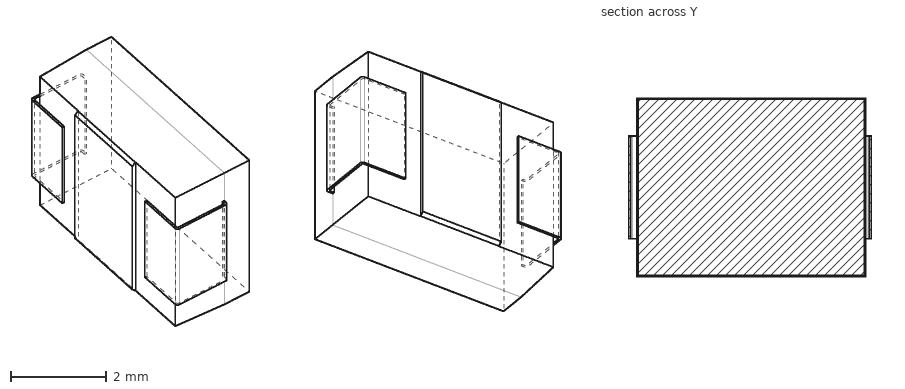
import cadquery as cq
import math

lead_span = 5.1
depth = 2.0
height = 3.75

body_width = 4.805
body_offset = 0.025
rear_depth = 0.66
draft_angle = 2.0

lead_width = 2.16
lead_thickness = 0.05
foot_gap = 0.033
foot_length = 1.11
bend_radius = 0.06
inner_bend_radius = 0.025

strap_thickness = lead_thickness + foot_gap
strap_width = 2.0
strap_chamfer = 0.075

front_y = -depth / 2
rear_y = depth / 2
seam_y = rear_y - rear_depth
body_front_y = front_y + strap_thickness
taper_depth = seam_y - body_front_y
taper_inset = taper_depth * math.tan(math.radians(draft_angle))
front_height = height - 2 * taper_inset


def make_body():
    """Straight rear block with a drafted block lofted in front of it."""
    rear = cq.Workplane("XY").box(body_width, rear_depth, height).translate(
        (body_offset, rear_y - rear_depth / 2, 0)
    )
    drafted = (
        cq.Workplane("XZ", origin=(body_offset, seam_y, 0))
        .rect(body_width, height)
        .workplane(offset=taper_depth)
        .rect(body_width - 2 * taper_inset, front_height)
        .loft(ruled=True)
    )
    return rear.union(drafted)


def make_strap():
    """Flat strap over the full front height, chamfered at its top and bottom front edges."""
    return (
        cq.Workplane("XY")
        .box(strap_width, strap_thickness, front_height)
        .faces("<Y")
        .edges("|X")
        .chamfer(strap_chamfer)
        .translate((0, front_y + strap_thickness / 2, 0))
    )


def rounded_block(left_x, width, rear, front, corner_radius):
    """Block as tall as a lead, with its two vertical left-hand edges rounded."""
    return (
        cq.Workplane("XY")
        .box(width, rear - front, lead_width)
        .edges("|Z and <X")
        .fillet(corner_radius)
        .translate((left_x + width / 2, (rear + front) / 2, 0))
    )


def make_left_lead():
    """C-shaped strip; its rear arm runs into the body at the seam, its foot lies in front of the body."""
    outer_x = -lead_span / 2
    outside = rounded_block(outer_x, foot_length, seam_y, front_y, bend_radius)
    inside = rounded_block(
        outer_x + lead_thickness,
        foot_length,
        seam_y - lead_thickness,
        front_y + lead_thickness,
        inner_bend_radius,
    )
    return outside.cut(inside)


left_lead = make_left_lead()
right_lead = left_lead.mirror("YZ")
result = make_body().union(make_strap()).union(left_lead).union(right_lead)